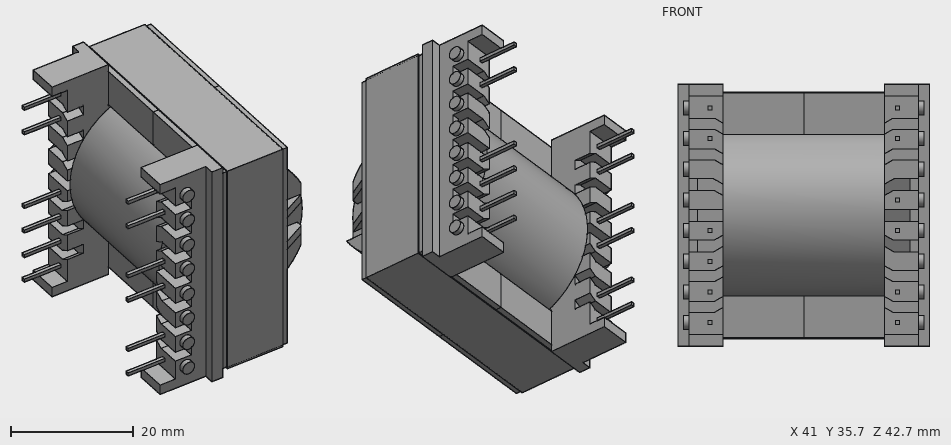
import cadquery as cq
import math


core_half_length = 20.1
core_half_depth = 6.45
core_half_height = 19.9
window_half_length = 14.25
window_radius = 14.65
post_radius = 6.4

tape_thickness = 0.2
tape_width = 10.85

winding_half_length = 13.1
winding_radius = 14.0
tube_radius = 7.45

flange_radius = 14.45
flange_top = 13.02

shelf_reach = 16.9
shelf_bottom = 6.95
shelf_top = 8.1
gusset_thickness = 1.62
gusset_offset = 3.2
end_block_top = -7.65

foot_half_length = 20.5
foot_front = -8.6
block_half_length = 18.7
block_front = -14.5
block_half_height = 21.35
tip_front = -17.5
tip_height = 1.92
boss_radius = 1.15
boss_length = 0.9
boss_y = -12.5

pitch = 5.0
slot_floor = -11.4
slot_half_width = 1.0
slot_narrowing = 0.15
slot_angle = 30
slant_run = 1.4
long_slant_run = 1.62
ramp_half_reach = 17.3
ramp_rise = 3.85

pin_size = 0.65
pin_x = 15.3
pin_end = -21.7
pin_count = 8
missing_pins = {-1: (2, 3), 1: (2, 5)}

pin_heights = [pitch * ((pin_count - 1) / 2 - i) for i in range(pin_count)]
last_slot = pin_count // 2 - 1
tip_inner = block_half_height - tip_height


def box(x_range, y_range, z_range):
    """Box between two limits on each axis, given in either order."""
    sizes = [abs(b - a) for a, b in (x_range, y_range, z_range)]
    middle = tuple((a + b) / 2 for a, b in (x_range, y_range, z_range))
    return cq.Workplane("XY").box(*sizes).translate(middle)


def x_cylinder(radius, x_start, x_end):
    """Cylinder about the X axis."""
    start = min(x_start, x_end)
    return cq.Workplane("YZ", origin=(start, 0, 0)).circle(radius).extrude(abs(x_end - x_start))


def make_core_half(side):
    """E-shaped half with a round centre post and hollowed inner leg faces."""
    depth = (-core_half_depth, core_half_depth)
    body = box((0, side * core_half_length), depth, (-core_half_height, core_half_height))
    window = x_cylinder(window_radius, 0, side * window_half_length)
    post = x_cylinder(post_radius, 0, side * window_half_length)
    return body.cut(window).union(post)


def make_tape():
    """Thin closed band round the four narrow sides of the core."""
    inner = (2 * core_half_length, 2 * core_half_height)
    outer = (inner[0] + 2 * tape_thickness, inner[1] + 2 * tape_thickness)
    return cq.Workplane("XZ").rect(*outer).rect(*inner).extrude(tape_width / 2, both=True)


def make_winding():
    """Hollow cylinder that fills the former between its flanges."""
    coil = x_cylinder(winding_radius, -winding_half_length, winding_half_length)
    return coil.cut(x_cylinder(tube_radius, -winding_half_length, winding_half_length))


def make_flange(side):
    """Flange disc with its wire shelf, gussets, notch between them and (on -X) the end block."""
    x_inner = side * winding_half_length
    x_outer = side * window_half_length
    x_end = side * shelf_reach
    full_height = (-flange_radius, flange_radius)

    disc = x_cylinder(flange_radius, x_inner, x_outer)
    flange = disc.cut(box((x_inner, x_outer), (flange_top, flange_radius), full_height))

    ledges = box((x_outer, x_end), (shelf_bottom, shelf_top), full_height)
    if side < 0:
        end_block = box((x_outer, x_end), (shelf_bottom, flange_top), (-flange_radius, end_block_top))
        ledges = ledges.union(end_block)
    flange = flange.union(ledges.intersect(x_cylinder(flange_radius, x_outer, x_end)))

    profile = [(x_outer, shelf_top), (x_outer, flange_top), (x_end, shelf_top)]
    gusset = cq.Workplane("XY").polyline(profile).close().extrude(gusset_thickness / 2, both=True)
    for z in (-gusset_offset, gusset_offset):
        flange = flange.union(gusset.translate((0, 0, z)))

    notch_side = gusset_offset - gusset_thickness / 2
    notch = box((x_inner, x_outer), (shelf_top, flange_radius), (-notch_side, notch_side))
    return flange.cut(notch)


def make_slot(side, index):
    """Cutter for the wire slot `index` pitches above the middle.

    At the coil, every slot but the middle one slants towards the winding axis.
    """
    direction = -1 if index < 0 else 1
    distance = abs(index) * pitch
    x_coil = winding_half_length
    inner_wall = distance - slot_half_width
    outer_wall = distance + slot_half_width
    outer_run = slant_run
    if abs(index) == 1:
        outer_run = long_slant_run
    elif index:
        outer_wall -= slot_narrowing
    slope = math.tan(math.radians(slot_angle)) if index else 0

    outline = [
        (block_half_length, inner_wall),
        (x_coil + slant_run, inner_wall),
        (x_coil, inner_wall - slope * slant_run),
        (x_coil, outer_wall - slope * outer_run),
        (x_coil + outer_run, outer_wall),
        (block_half_length, outer_wall),
    ]
    points = [(side * x, direction * z) for x, z in outline]
    deep_slot = cq.Workplane("XZ").polyline(points).close().extrude(-block_front)

    section = [(block_half_length, block_front), (block_half_length, slot_floor)]
    if abs(index) <= 1:
        section += [(ramp_half_reach, slot_floor), (x_coil, slot_floor + ramp_rise)]
    else:
        section += [(x_coil, slot_floor)]
    section += [(x_coil, block_front)]
    floor = cq.Workplane("XY").polyline([(side * x, y) for x, y in section]).close()
    return deep_slot.intersect(floor.extrude(block_half_height, both=True))


def make_pin_block(side):
    """Block with a wide foot against the core, two end tips, bosses and pins."""
    x_coil = side * winding_half_length
    x_face = side * block_half_length
    height = (-block_half_height, block_half_height)
    block = box((x_coil, side * foot_half_length), (-core_half_depth, foot_front), height)
    block = block.union(box((x_coil, x_face), (foot_front, tip_front), height))
    block = block.cut(box((x_coil, x_face), (block_front, tip_front), (-tip_inner, tip_inner)))

    for position, z in enumerate(pin_heights):
        boss = x_cylinder(boss_radius, x_face, x_face + side * boss_length)
        block = block.union(boss.translate((0, boss_y, z)))
        if position not in missing_pins[side]:
            pin = cq.Workplane("XZ", origin=(side * pin_x, block_front, z)).rect(pin_size, pin_size)
            block = block.union(pin.extrude(block_front - pin_end))
    return block


def make_former():
    """Coil former: tube round the core post, two flanges and two slotted pin blocks."""
    former = x_cylinder(tube_radius, -window_half_length, window_half_length)
    for side in (-1, 1):
        former = former.union(make_flange(side)).union(make_pin_block(side))
        for index in range(-last_slot, last_slot + 1):
            former = former.cut(make_slot(side, index))
    return former.cut(x_cylinder(post_radius, -window_half_length, window_half_length))


core_halves = [make_core_half(side) for side in (-1, 1)]
tape = make_tape()
winding = make_winding()
former = make_former()

result = cq.Compound.makeCompound(
    [*[half.val() for half in core_halves], tape.val(), winding.val(), former.val()]
)